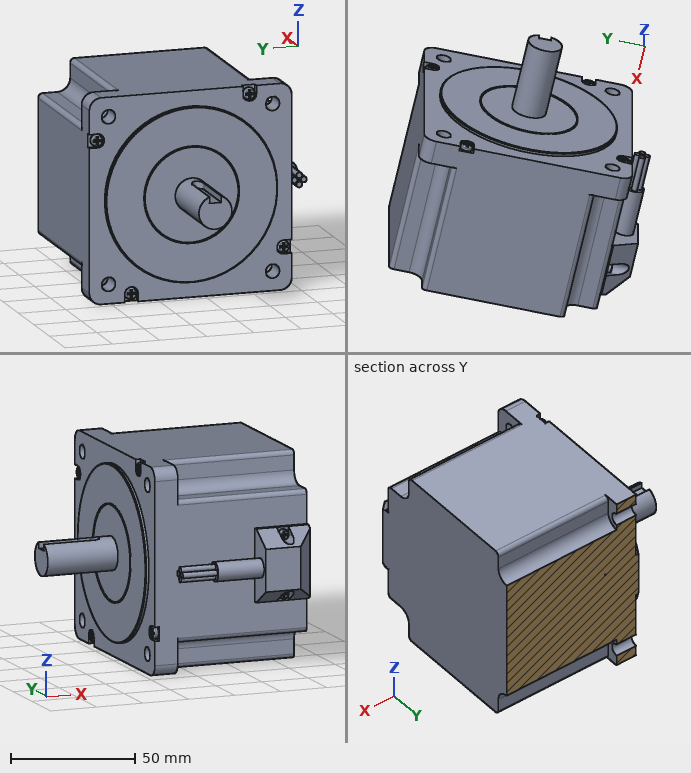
import cadquery as cq
import math


overall_length = 98.0
shaft_length = 31.9
frame_size = 85.8
half_frame = frame_size / 2
side_count = 4
motor_length = overall_length - shaft_length

flange_thickness = 10.0
flange_corner_radius = 5.0
mount_hole_diameter = 5.8
mount_hole_inset = 8.1
mount_hole_offset = half_frame - mount_hole_inset

pilot_diameter = 73.0
pilot_height = 1.5
pilot_chamfer = 0.4
groove_outer_diameter = 40.4
groove_width = 0.4
groove_depth = 0.4

shaft_diameter = 14.0
keyway_width = 5.0
keyway_length = 25.0
keyway_floor_height = 3.9

relief_radius = 5.4
relief_wall = half_frame - mount_hole_inset - relief_radius
body_edge_radius = 2.0

flange_screw_along = 25.1
flange_screw_out = 39.5
flange_notch_width = 5.7
flange_notch_depth = 2.0
flange_head_diameter = 5.0

head_height = 1.8
head_edge_radius = 0.6
recess_width_ratio = 0.15
recess_span_ratio = 0.65
recess_depth = 1.0

block_length = 22.6
block_height = 12.0
block_base_width = 30.4
block_top_width = 17.6
block_base_thickness = 1.8
block_chamfer_length = 7.4
block_chamfer_height = 8.3
block_front = motor_length - block_length

block_screw_from_rear = 11.3
block_screw_offset = 12.2
block_pocket_width = 5.0
block_head_diameter = 4.3

cable_diameter = 8.0
cable_length = 19.9
cable_y = -half_frame - block_height / 2
wire_diameter = 2.45
wire_length = 15.0
wire_offset = 2.0
wire_count = 4


def rod(start_x, length, diameter, y=0.0, z=0.0):
    """Cylinder along +X."""
    return cq.Workplane("YZ", origin=(start_x, y, z)).circle(diameter / 2).extrude(length)


def screw_head(diameter):
    """Round screw head standing on z = 0, with a cross recess in its top."""
    head = cq.Workplane("XY").circle(diameter / 2).extrude(head_height)
    head = head.faces(">Z").edges().fillet(head_edge_radius)
    span = diameter * recess_span_ratio
    width = diameter * recess_width_ratio
    floor = cq.Workplane("XY", origin=(0, 0, head_height - recess_depth))
    recess = floor.rect(span, width).extrude(recess_depth)
    recess = recess.union(floor.rect(width, span).extrude(recess_depth))
    return head.cut(recess)


def open_slot(width, reach, depth):
    """Slot on z = 0: round end about the origin, straight sides running to +Y."""
    radius = width / 2
    return (
        cq.Workplane("XY")
        .moveTo(-radius, reach)
        .lineTo(-radius, 0)
        .threePointArc((0, -radius), (radius, 0))
        .lineTo(radius, reach)
        .close()
        .extrude(depth)
    )


def make_flange():
    flange = (
        cq.Workplane("YZ")
        .rect(frame_size, frame_size)
        .extrude(flange_thickness)
        .edges("|X")
        .fillet(flange_corner_radius)
    )
    spacing = 2 * mount_hole_offset
    holes = (
        cq.Workplane("YZ")
        .rect(spacing, spacing, forConstruction=True)
        .vertices()
        .circle(mount_hole_diameter / 2)
        .extrude(flange_thickness)
    )
    return flange.cut(holes)


def make_body():
    body_length = motor_length - flange_thickness
    body = (
        cq.Workplane("YZ", origin=(flange_thickness, 0, 0))
        .rect(frame_size, frame_size)
        .extrude(body_length)
    )
    corner = half_frame
    bend = mount_hole_offset
    middle = bend - relief_radius * math.sqrt(0.5)
    for index in range(side_count):
        relief = (
            cq.Workplane("YZ", origin=(flange_thickness, 0, 0))
            .moveTo(corner, corner)
            .lineTo(relief_wall, corner)
            .lineTo(relief_wall, bend)
            .threePointArc((middle, middle), (bend, relief_wall))
            .lineTo(corner, relief_wall)
            .close()
            .extrude(body_length)
        )
        body = body.cut(relief.rotate((0, 0, 0), (1, 0, 0), index * 360 / side_count))
    outer_edges = "|X and (>Y or <Y or >Z or <Z)"
    return body.edges(outer_edges).fillet(body_edge_radius)


def make_pilot():
    pilot = rod(-pilot_height, pilot_height, pilot_diameter)
    pilot = pilot.faces("<X").edges().chamfer(pilot_chamfer)
    groove_inner_diameter = groove_outer_diameter - 2 * groove_width
    groove = rod(-pilot_height, groove_depth, groove_outer_diameter)
    groove = groove.cut(rod(-pilot_height, groove_depth, groove_inner_diameter))
    return pilot.cut(groove)


def make_shaft():
    shaft = rod(-shaft_length, shaft_length, shaft_diameter)
    end_centre = keyway_length - keyway_width / 2 - shaft_length
    keyway = (
        open_slot(keyway_width, shaft_length, shaft_diameter)
        .rotate((0, 0, 0), (0, 0, 1), 90)
        .translate((end_centre, 0, keyway_floor_height))
    )
    return shaft.cut(keyway)


def make_block():
    half_base = block_base_width / 2
    half_top = block_top_width / 2
    base_y = -half_frame
    shoulder_y = base_y - block_base_thickness
    top_y = base_y - block_height
    block = (
        cq.Workplane("YZ", origin=(block_front, 0, 0))
        .polyline([
            (base_y, -half_base),
            (shoulder_y, -half_base),
            (top_y, -half_top),
            (top_y, half_top),
            (shoulder_y, half_base),
            (base_y, half_base),
        ])
        .close()
        .extrude(block_length)
    )
    rear_wedge = (
        cq.Workplane("XY", origin=(0, 0, -half_base))
        .polyline([
            (motor_length, top_y),
            (motor_length - block_chamfer_length, top_y),
            (motor_length, top_y + block_chamfer_height),
        ])
        .close()
        .extrude(block_base_width)
    )
    return block.cut(rear_wedge)


def make_cable():
    cable = rod(block_front - cable_length, cable_length, cable_diameter, y=cable_y)
    wire_start = block_front - cable_length - wire_length
    for index in range(wire_count):
        angle = 2 * math.pi * index / wire_count
        wire_y = cable_y + wire_offset * math.cos(angle)
        wire_z = wire_offset * math.sin(angle)
        cable = cable.union(rod(wire_start, wire_length, wire_diameter, wire_y, wire_z))
    return cable


def place_on_flange(shape, turn):
    """Point local Z out of the flange face and local Y towards the edge, then turn about the shaft."""
    facing = shape.rotate((0, 0, 0), (0, 1, 0), -90).rotate((0, 0, 0), (1, 0, 0), 90)
    at_top = facing.translate((flange_notch_depth, -flange_screw_along, flange_screw_out))
    return at_top.rotate((0, 0, 0), (1, 0, 0), turn)


def add_flange_screws(motor):
    notch = open_slot(flange_notch_width, half_frame, flange_notch_depth)
    head = screw_head(flange_head_diameter)
    for index in range(side_count):
        turn = index * 360 / side_count
        motor = motor.cut(place_on_flange(notch, turn))
        motor = motor.union(place_on_flange(head, turn))
    return motor


def place_on_block(shape, turn):
    """Point local Z to -Y and local Y to +Z (turn 0) or -Z (turn 180), seated on the block base."""
    screw_x = motor_length - block_screw_from_rear
    floor_y = -half_frame - block_base_thickness
    facing = shape.rotate((0, 0, 0), (1, 0, 0), 90).translate((0, 0, block_screw_offset))
    return facing.rotate((0, 0, 0), (0, 1, 0), turn).translate((screw_x, floor_y, 0))


def add_block_screws(motor):
    pocket = open_slot(block_pocket_width, block_base_width, block_height)
    head = screw_head(block_head_diameter)
    for turn in (0, 180):
        motor = motor.cut(place_on_block(pocket, turn))
        motor = motor.union(place_on_block(head, turn))
    return motor


motor = make_flange().union(make_body()).union(make_pilot()).union(make_shaft())
motor = motor.union(make_block())
motor = add_flange_screws(motor)
motor = add_block_screws(motor)
result = motor.union(make_cable())